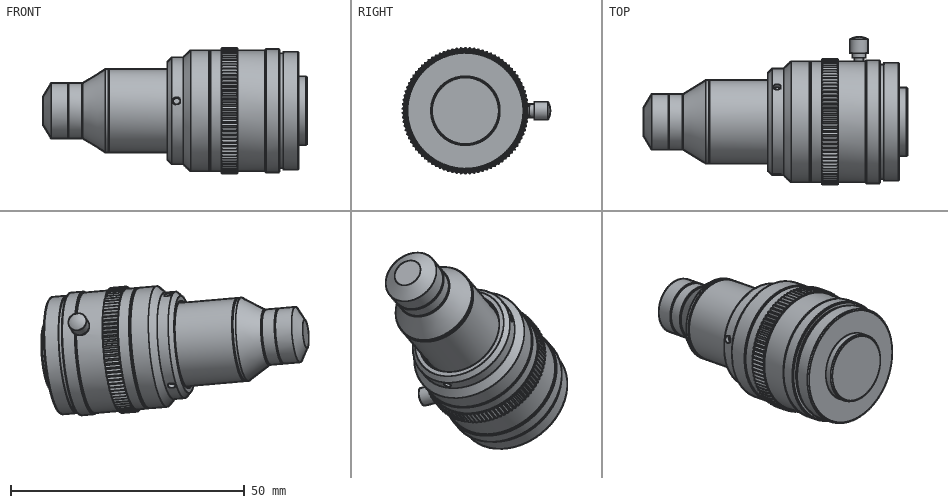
import cadquery as cq
import math

nose_tip_radius = 3.05
nose_radius = 6.0
nose_taper_end = 1.75
nose_groove_start = 5.3
nose_groove_width = 0.2
fine_groove_depth = 0.1
neck_groove_start = 8.25
shoulder_start = 8.55
shoulder_end = 13.25
barrel_radius = 9.0
barrel_chamfer = 0.1
barrel_groove_start = 14.0
barrel_groove_width = 0.2

collar_start = 26.6
collar_end = 30.05
collar_radius = 11.5
collar_chamfer = 1.0
clearance_radius = 9.35
clearance_chamfer = 0.1
clearance_depth = 1.15

housing_start = 31.65
housing_radius = 13.0
housing_groove_start = 35.5
housing_groove_width = 0.45
housing_groove_depth = 0.15
housing_edge_chamfer = 0.1

flange_start = 47.6
flange_end = 50.75
flange_radius = 13.25
flange_chamfer = 0.2
relief_radius = 12.35
end_ring_start = 51.55
end_ring_end = 54.9
end_ring_radius = 12.7
end_ring_chamfer = 0.3
boss_radius = 7.4
boss_chamfer = 0.3
total_length = 56.65

knurl_start = 38.3
knurl_end = 41.75
knurl_root_radius = 13.1
knurl_diameter = 27.0
knurl_tip_radius = knurl_diameter / 2
knurl_count = 90
knurl_pitch_angle = 360 / knurl_count
knurl_chamfer = 0.15

screw_hole_x = 28.65
screw_hole_radius = 0.8
screw_hole_depth = 1.1
screw_hole_count = 3
screw_hole_first_angle = 169.2

thumb_x = 46.2
thumb_stem_radius = 1.0
thumb_neck_radius = 1.5
thumb_head_radius = 2.0
thumb_root_y = 11.3
thumb_neck_start_y = 13.7
thumb_head_start_y = 14.7
thumb_head_edge_y = 17.65
overall_width = 31.75
thumb_top_y = overall_width - knurl_tip_radius


def cylinder_along_x(start, end, radius):
    """Solid cylinder on the X axis between two stations."""
    return cq.Workplane("YZ").workplane(offset=start).circle(radius).extrude(end - start)


def polar_point(radius, angle):
    """Point in the YZ plane at an angle in degrees from +Y."""
    turn = math.radians(angle)
    return (radius * math.cos(turn), radius * math.sin(turn))


def ring_groove(start, width, outer_radius, depth):
    """Ring of material to remove around the X axis."""
    floor_radius = outer_radius - depth
    return cylinder_along_x(start, start + width, outer_radius).cut(
        cylinder_along_x(start, start + width, floor_radius)
    )


def make_body():
    """Turned body: one half profile revolved about the X axis."""
    profile = [
        (0, 0),
        (0, nose_tip_radius),
        (nose_taper_end, nose_radius),
        (shoulder_start, nose_radius),
        (shoulder_end, barrel_radius - barrel_chamfer),
        (shoulder_end + barrel_chamfer, barrel_radius),
        (collar_start + clearance_depth, barrel_radius),
        (collar_start + clearance_depth, clearance_radius),
        (collar_start + clearance_chamfer, clearance_radius),
        (collar_start, clearance_radius + clearance_chamfer),
        (collar_start, collar_radius - collar_chamfer),
        (collar_start + collar_chamfer, collar_radius),
        (collar_end, collar_radius),
        (housing_start, housing_radius),
        (housing_groove_start, housing_radius),
        (housing_groove_start + housing_groove_width / 2, housing_radius - housing_groove_depth),
        (housing_groove_start + housing_groove_width, housing_radius),
        (flange_start - housing_edge_chamfer, housing_radius),
        (flange_start, housing_radius - housing_edge_chamfer),
        (flange_start, flange_radius - flange_chamfer),
        (flange_start + flange_chamfer, flange_radius),
        (flange_end - flange_chamfer, flange_radius),
        (flange_end, flange_radius - flange_chamfer),
        (flange_end, relief_radius),
        (end_ring_start, relief_radius),
        (end_ring_start, end_ring_radius),
        (end_ring_end - end_ring_chamfer, end_ring_radius),
        (end_ring_end, end_ring_radius - end_ring_chamfer),
        (end_ring_end, boss_radius),
        (total_length - boss_chamfer, boss_radius),
        (total_length, boss_radius - boss_chamfer),
        (total_length, 0),
    ]
    body = cq.Workplane("XY").polyline(profile).close().revolve(360, (0, 0, 0), (1, 0, 0))
    grooves = [
        (nose_groove_start, nose_groove_width, nose_radius, fine_groove_depth),
        (neck_groove_start, shoulder_start - neck_groove_start, nose_radius, fine_groove_depth),
        (barrel_groove_start, barrel_groove_width, barrel_radius, fine_groove_depth),
    ]
    for start, width, outer_radius, depth in grooves:
        body = body.cut(ring_groove(start, width, outer_radius, depth))
    return body


def make_knurl():
    """Ring with straight V teeth, the first tip pointing along +Z."""
    points = []
    for tooth in range(knurl_count):
        tip_angle = 90 + tooth * knurl_pitch_angle
        root_angle = tip_angle + knurl_pitch_angle / 2
        points.append(polar_point(knurl_tip_radius, tip_angle))
        points.append(polar_point(knurl_root_radius, root_angle))
    ring = cq.Workplane("YZ").workplane(offset=knurl_start).polyline(points).close()
    ring = ring.extrude(knurl_end - knurl_start)
    envelope = cylinder_along_x(knurl_start, knurl_end, knurl_tip_radius)
    return ring.intersect(envelope.edges().chamfer(knurl_chamfer))


def make_thumb_screw():
    """Stepped round screw with a domed head, revolved about its own Y axis."""
    dome_rise = thumb_top_y - thumb_head_edge_y
    dome_radius = (thumb_head_radius**2 + dome_rise**2) / (2 * dome_rise)
    mid_radius = thumb_head_radius / 2
    mid_y = thumb_top_y - dome_radius + math.sqrt(dome_radius**2 - mid_radius**2)
    return (
        cq.Workplane("XY", origin=(thumb_x, 0, 0))
        .moveTo(0, thumb_root_y)
        .lineTo(thumb_stem_radius, thumb_root_y)
        .lineTo(thumb_stem_radius, thumb_neck_start_y)
        .lineTo(thumb_neck_radius, thumb_neck_start_y)
        .lineTo(thumb_neck_radius, thumb_head_start_y)
        .lineTo(thumb_head_radius, thumb_head_start_y)
        .lineTo(thumb_head_radius, thumb_head_edge_y)
        .threePointArc((mid_radius, mid_y), (0, thumb_top_y))
        .close()
        .revolve(360, (0, 0, 0), (0, 1, 0))
    )


def make_screw_holes():
    """Blind radial holes spaced evenly around the collar."""
    floor_radius = collar_radius - screw_hole_depth
    hole = (
        cq.Workplane("XZ", origin=(screw_hole_x, floor_radius, 0))
        .circle(screw_hole_radius)
        .extrude(-2 * screw_hole_depth)
    )
    angles = [
        screw_hole_first_angle + index * 360 / screw_hole_count for index in range(screw_hole_count)
    ]
    return [hole.rotate((0, 0, 0), (1, 0, 0), angle) for angle in angles]


part = make_body().union(make_knurl()).union(make_thumb_screw())
for screw_hole in make_screw_holes():
    part = part.cut(screw_hole)
result = part.solids()